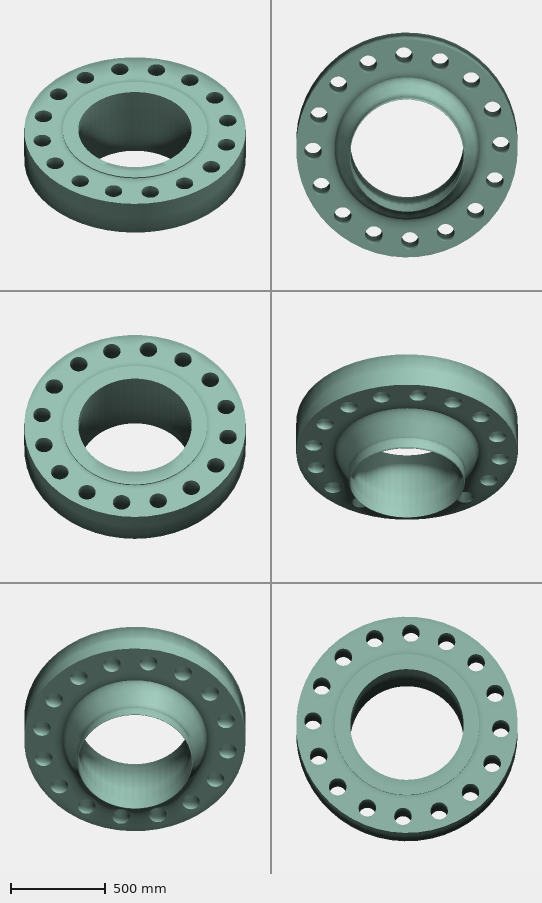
import cadquery as cq

flange_diameter = 1168.0
flange_thickness = 202.0
face_diameter = 762.0
face_height = 7.0

hub_base_diameter = 762.0
hub_length = 138.0
stub_diameter = 610.0
stub_length = 65.0
bore_diameter = 598.0

bevel_width = 4.0
bevel_height = 5.0

bolt_count = 16
bolt_circle_diameter = 991.0
bolt_hole_diameter = 92.0

flange_bottom = stub_length + hub_length
flange_top = flange_bottom + flange_thickness
total_height = flange_top + face_height


def make_body():
    """Revolve the half section, including the bore, about Z."""
    bore_radius = bore_diameter / 2
    section = [
        (bore_radius, 0),
        (stub_diameter / 2 - bevel_width, 0),
        (stub_diameter / 2, bevel_height),
        (stub_diameter / 2, stub_length),
        (hub_base_diameter / 2, flange_bottom),
        (flange_diameter / 2, flange_bottom),
        (flange_diameter / 2, flange_top),
        (face_diameter / 2, flange_top),
        (face_diameter / 2, total_height),
        (bore_radius, total_height),
    ]
    return cq.Workplane("XZ").polyline(section).close().revolve(360, (0, 0), (0, 1))


def make_bolt_holes():
    """Cylinders that pass through the flange disc."""
    half_pitch = 360 / bolt_count / 2
    return (
        cq.Workplane("XY", origin=(0, 0, flange_bottom))
        .polarArray(bolt_circle_diameter / 2, half_pitch, 360, bolt_count)
        .circle(bolt_hole_diameter / 2)
        .extrude(flange_thickness)
    )


result = make_body().cut(make_bolt_holes())